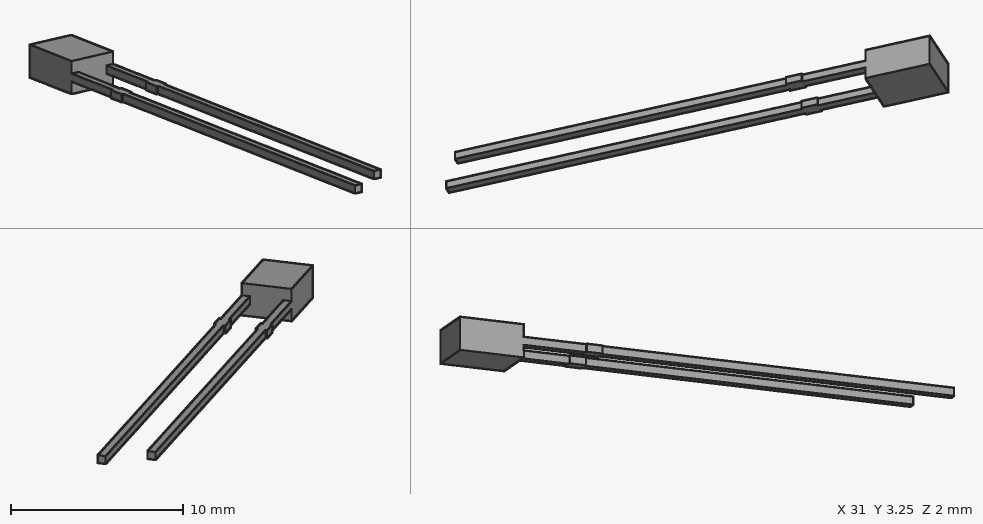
import cadquery as cq

total_length = 31.0
body_length = 4.0
body_height = 2.0

lead_size = 0.5
lead_pitch = 2.55
short_lead_end = 29.48

collar_start = 7.9
collar_length = 1.0
collar_width = 0.7

body_width = lead_pitch + lead_size


def bar(start, end, width, height, center_y=0.0):
    """Rectangular bar along X, centred on Z = 0."""
    return (
        cq.Workplane("XY")
        .box(end - start, width, height)
        .translate(((start + end) / 2, center_y, 0))
    )


def lead(end, center_y):
    """Square lead leaving the back of the body, with a wider stand-off collar."""
    shank = bar(body_length, end, lead_size, lead_size, center_y)
    collar = bar(collar_start, collar_start + collar_length, collar_width, lead_size, center_y)
    return shank.union(collar)


body = bar(0, body_length, body_width, body_height)
long_lead = lead(total_length, -lead_pitch / 2)
short_lead = lead(short_lead_end, lead_pitch / 2)

result = body.union(long_lead).union(short_lead)